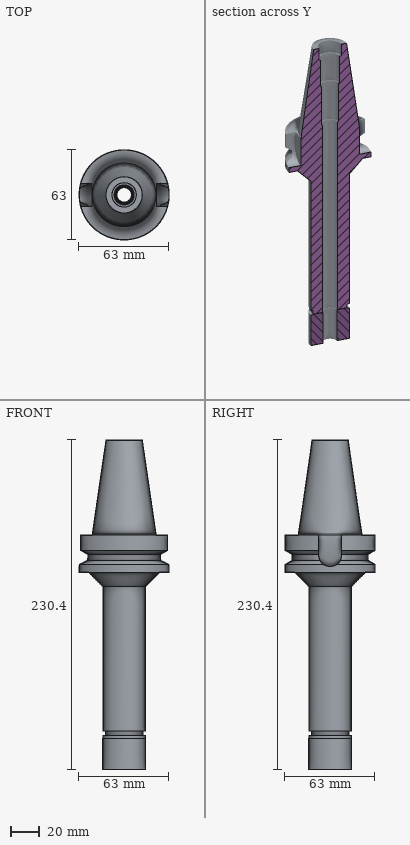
import cadquery as cq
import math

taper_height = 65.4
gauge_radius = 44.45 / 2
taper_slope = 7 / 24 / 2
taper_tip_radius = gauge_radius - taper_slope * taper_height

flange_radius = 31.5
flange_top = -1.0
flange_bottom = -27.0
groove_root_radius = 26.6
groove_centre = -16.6
groove_root_width = 4.3
groove_side_angle = 30
groove_depth = flange_radius - groove_root_radius
groove_root_top = groove_centre + groove_root_width / 2
groove_root_bottom = groove_centre - groove_root_width / 2
groove_side_height = groove_depth * math.tan(math.radians(groove_side_angle))

slot_width = 16.1
slot_floor = 22.6
slot_end_radius = slot_width / 2
slot_bottom = -22.95
slot_arc_centre = slot_bottom + slot_end_radius

neck_radius = 14.8
shoulder_height = 10.0
shoulder_radius = neck_radius + shoulder_height
shoulder_bottom = flange_bottom - shoulder_height
neck_bottom = -138.0

spigot_radius = 13.2
nut_top = -141.0

nut_radius = 15.0
nut_bottom = -165.0
collar_radius = 14.95
collar_height = 2.2

mouth_radius = 17.0 / 2
mouth_depth = 9.0
thread_radius = 14.0 / 2
thread_depth = 30.0
clearance_radius = 12.5 / 2
clearance_depth = 60.0
coolant_radius = 11.2 / 2
coolant_depth = taper_height - nut_top
nut_bore_radius = 10.2 / 2
bore_steps = [
    (mouth_radius, mouth_depth),
    (thread_radius, thread_depth),
    (clearance_radius, clearance_depth),
    (coolant_radius, coolant_depth),
]


def bore(radius, depth):
    """Cutter for a round hole going down from the taper tip."""
    return cq.Workplane("XY", origin=(0, 0, taper_height)).circle(radius).extrude(-depth)


def revolved(outline):
    """Revolve (radius, height) points about the Z axis."""
    return cq.Workplane("XZ").polyline(outline).close().revolve(360, (0, 0), (0, 1))


def drive_slot():
    """Cutter for the slot on the +X side: open at the top, round at the bottom."""
    return (
        cq.Workplane("YZ", origin=(slot_floor, 0, 0))
        .moveTo(-slot_end_radius, 0)
        .lineTo(-slot_end_radius, slot_arc_centre)
        .threePointArc((0, slot_bottom), (slot_end_radius, slot_arc_centre))
        .lineTo(slot_end_radius, 0)
        .close()
        .extrude(flange_radius)
    )


def make_holder():
    body = revolved([
        (0, taper_height),
        (taper_tip_radius, taper_height),
        (gauge_radius, 0),
        (gauge_radius, flange_top),
        (flange_radius, flange_top),
        (flange_radius, groove_root_top + groove_side_height),
        (groove_root_radius, groove_root_top),
        (groove_root_radius, groove_root_bottom),
        (flange_radius, groove_root_bottom - groove_side_height),
        (flange_radius, flange_bottom),
        (shoulder_radius, flange_bottom),
        (neck_radius, shoulder_bottom),
        (neck_radius, neck_bottom),
        (spigot_radius, neck_bottom),
        (spigot_radius, nut_top),
        (0, nut_top),
    ])
    for angle in (0, 180):
        body = body.cut(drive_slot().rotate((0, 0, 0), (0, 0, 1), angle))
    for radius, depth in bore_steps:
        body = body.cut(bore(radius, depth))
    return body


def make_nut():
    return revolved([
        (nut_bore_radius, nut_bottom),
        (nut_radius, nut_bottom),
        (nut_radius, nut_top - collar_height),
        (collar_radius, nut_top - collar_height),
        (collar_radius, nut_top),
        (nut_bore_radius, nut_top),
    ])


holder = make_holder()
nut = make_nut()
result = cq.Compound.makeCompound([holder.val(), nut.val()])